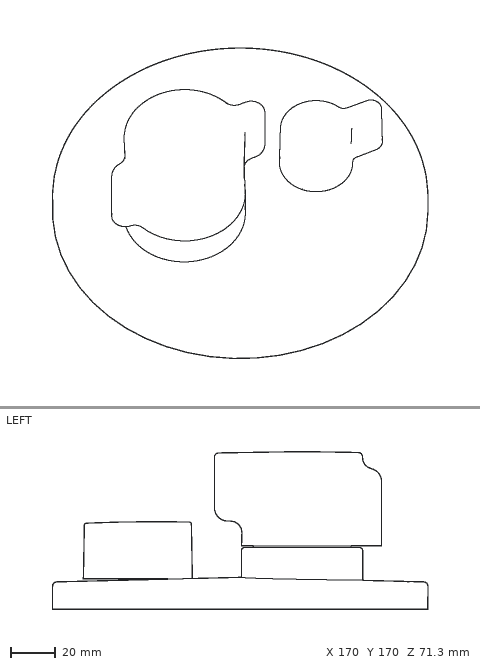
import cadquery as cq
import math

PLATE_RADIUS = 85.0
PLATE_RIM_HEIGHT = 12.4
PLATE_APEX_HEIGHT = 14.5
PLATE_EDGE_FILLET = 2.0

BASE_RADIUS = 27.5
BASE_TOP = 28.0
BASE_FILLET = 1.5
NECK_RADIUS = 22.2

KNOB_Y = -28.0
KNOB_RADIUS = 27.5
KNOB_WAIST = 0.45
KNOB_BOTTOM = 28.7
KNOB_TOP = 71.28
KNOB_TOP_FLAT_RADIUS = 7.7
KNOB_TOP_SLOPE = 0.016
KNOB_TOP_FILLET = 2.0

GRIP_RADIUS = 6.15
GRIP_BLEND = 5.0
LEVER_REACH = 33.6
LEVER_BALL_HEIGHT = 46.0
STOP_REACH = 29.9
STOP_BALL_HEIGHT = 57.7

HANDLE_Y = 38.2
HANDLE_RADIUS = 16.6
HANDLE_BOTTOM = 13.8
HANDLE_TOP = 39.7
HANDLE_DRAFT = 1.0
HANDLE_TOP_FILLET = 1.0
HANDLE_LEVER_RADIUS = 5.1
HANDLE_LEVER_REACH = 27.75
HANDLE_BLEND = 3.0
HANDLE_DOME_DROP = 0.77

PICK_MARGIN = 1.0


def revolve_about_z(profile):
    """Turn a closed (radius, height) profile about the Z axis."""
    return profile.close().revolve(360, (0, 0, 0), (0, 1, 0))


def disc(radius, bottom, top):
    return cq.Workplane("XY").workplane(offset=bottom).circle(radius).extrude(top - bottom)


def ball(radius, y, z):
    return cq.Workplane("XY").sphere(radius).translate((0, y, z))


def fillet_top_outline(solid, lowest, inner_radius, fillet_radius):
    """Round the outline of a top face: all edges above `lowest` and outside `inner_radius`."""
    def on_outline(edge):
        middle = edge.positionAt(0.5)
        is_high = edge.BoundingBox().zmin > lowest
        return is_high and math.hypot(middle.x, middle.y) > inner_radius

    outline = [edge for edge in solid.edges().vals() if on_outline(edge)]
    return solid.newObject(outline).fillet(fillet_radius)


def make_plate():
    blank = revolve_about_z(
        cq.Workplane("XZ")
        .lineTo(PLATE_RADIUS, 0)
        .lineTo(PLATE_RADIUS, PLATE_RIM_HEIGHT)
        .lineTo(0, PLATE_APEX_HEIGHT)
    )
    return blank.edges("%CIRCLE").edges(">Z").fillet(PLATE_EDGE_FILLET)


def make_base():
    """Base ring and the thinner neck that carries the knob."""
    ring = disc(BASE_RADIUS, 0, BASE_TOP).faces(">Z").edges().fillet(BASE_FILLET)
    return ring.union(disc(NECK_RADIUS, 0, KNOB_BOTTOM))


def make_knob_drum():
    """Round knob body with a slightly waisted wall and a flat top."""
    mid_height = (KNOB_BOTTOM + KNOB_TOP) / 2
    return revolve_about_z(
        cq.Workplane("XZ")
        .moveTo(0, KNOB_BOTTOM)
        .lineTo(KNOB_RADIUS, KNOB_BOTTOM)
        .threePointArc((KNOB_RADIUS - KNOB_WAIST, mid_height), (KNOB_RADIUS, KNOB_TOP))
        .lineTo(0, KNOB_TOP)
    )


def make_lever():
    """Lever level with the knob top, its outer end and underside fully rounded."""
    height = KNOB_TOP - LEVER_BALL_HEIGHT
    arm = (
        cq.Workplane("XY").workplane(offset=LEVER_BALL_HEIGHT)
        .center(0, LEVER_REACH / 2)
        .rect(2 * GRIP_RADIUS, LEVER_REACH)
        .extrude(height)
    )
    tip = disc(GRIP_RADIUS, LEVER_BALL_HEIGHT, KNOB_TOP).translate((0, LEVER_REACH, 0))
    underside = (
        cq.Workplane("XZ").center(0, LEVER_BALL_HEIGHT).circle(GRIP_RADIUS).extrude(-LEVER_REACH)
    )
    return arm.union(tip).union(underside).union(ball(GRIP_RADIUS, LEVER_REACH, LEVER_BALL_HEIGHT))


def make_stop():
    """Upright round post with a ball top, opposite the lever."""
    post = disc(GRIP_RADIUS, KNOB_BOTTOM, STOP_BALL_HEIGHT).translate((0, -STOP_REACH, 0))
    return post.union(ball(GRIP_RADIUS, -STOP_REACH, STOP_BALL_HEIGHT))


def blend_grip(knob, side):
    """Fillet the seam between the drum and the grip on the +Y (1) or -Y (-1) side."""
    def on_seam(edge):
        points = [edge.positionAt(share) for share in (0, 0.5, 1)]
        return all(
            abs(math.hypot(point.x, point.y) - KNOB_RADIUS) < PICK_MARGIN
            and abs(point.x) < GRIP_RADIUS + PICK_MARGIN
            and point.y * side > 0
            for point in points
        )

    seam = [edge for edge in knob.edges().vals() if on_seam(edge)]
    return knob.newObject(seam).fillet(GRIP_BLEND)


def make_knob_envelope():
    """Blank with a conical top around a small flat; it trims the knob and lever tops."""
    radius = 2 * KNOB_RADIUS
    rim_height = KNOB_TOP - KNOB_TOP_SLOPE * (radius - KNOB_TOP_FLAT_RADIUS)
    return revolve_about_z(
        cq.Workplane("XZ")
        .moveTo(0, KNOB_BOTTOM)
        .lineTo(radius, KNOB_BOTTOM)
        .lineTo(radius, rim_height)
        .lineTo(KNOB_TOP_FLAT_RADIUS, KNOB_TOP)
        .lineTo(0, KNOB_TOP)
    )


def make_knob():
    knob = make_knob_drum().union(make_lever()).union(make_stop())
    knob = blend_grip(knob, 1)
    knob = blend_grip(knob, -1)
    knob = knob.intersect(make_knob_envelope())
    lowest = KNOB_TOP - KNOB_TOP_FILLET
    return fillet_top_outline(knob, lowest, KNOB_RADIUS - PICK_MARGIN, KNOB_TOP_FILLET)


def make_handle_body():
    """Drafted keyhole shape: round grip and a round-ended lever joined by concave corners."""
    height = HANDLE_TOP - HANDLE_BOTTOM
    half_width = HANDLE_LEVER_RADIUS
    corner_distance = HANDLE_RADIUS + HANDLE_BLEND
    corner_x = half_width + HANDLE_BLEND
    corner_y = math.sqrt(corner_distance ** 2 - corner_x ** 2)
    touch_x = corner_x * HANDLE_RADIUS / corner_distance
    touch_y = corner_y * HANDLE_RADIUS / corner_distance
    return (
        cq.Workplane("XY").workplane(offset=HANDLE_BOTTOM)
        .moveTo(touch_x, touch_y)
        .radiusArc((half_width, corner_y), HANDLE_BLEND)
        .lineTo(half_width, HANDLE_LEVER_REACH)
        .threePointArc((0, HANDLE_LEVER_REACH + half_width), (-half_width, HANDLE_LEVER_REACH))
        .lineTo(-half_width, corner_y)
        .radiusArc((-touch_x, touch_y), HANDLE_BLEND)
        .threePointArc((0, -HANDLE_RADIUS), (touch_x, touch_y))
        .close()
        .extrude(height, taper=HANDLE_DRAFT)
    )


def make_handle():
    tip_radius = HANDLE_LEVER_REACH + HANDLE_LEVER_RADIUS
    dome_radius = (tip_radius ** 2 + HANDLE_DOME_DROP ** 2) / (2 * HANDLE_DOME_DROP)
    dome = ball(dome_radius, 0, HANDLE_TOP - dome_radius)
    handle = make_handle_body().intersect(dome)
    lowest = HANDLE_TOP - HANDLE_DOME_DROP - PICK_MARGIN
    inner_radius = HANDLE_RADIUS - 2 * PICK_MARGIN
    return fillet_top_outline(handle, lowest, inner_radius, HANDLE_TOP_FILLET)


result = (
    make_plate()
    .union(make_base().translate((0, KNOB_Y, 0)))
    .union(make_knob().translate((0, KNOB_Y, 0)))
    .union(make_handle().translate((0, HANDLE_Y, 0)))
)